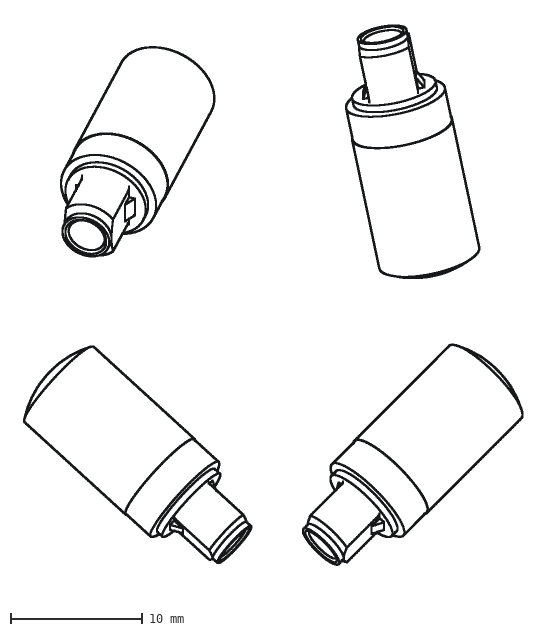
import cadquery as cq
import math

TOTAL_LENGTH = 19.4
SPIGOT_LENGTH = 0.5
SHOULDER_CHAMFER_END = 0.85
FLANGE_FACE = 4.5
COLLAR_FACE = 5.05
SLEEVE_FACE = 7.75
DOME_EDGE = 18.3

SPIGOT_RADIUS = 3.8 / 2
STEM_RADIUS = 5.0 / 2
FLANGE_RADIUS = 6.5 / 2
COLLAR_RADIUS = 7.7 / 2
SLEEVE_RADIUS = 7.8 / 2

STEM_ROOT_FILLET = 0.2
COLLAR_EDGE_RADIUS = 0.3

BORE_RADIUS = 2.9 / 2
BORE_DEPTH = 4.0
BORE_CHAMFER = 0.2

FLAT_HALF_WIDTH = SPIGOT_RADIUS
RIB_HEIGHT = 0.47
RIB_LENGTH = 0.9
RIB_WIDTH = 1.7


def turned_stem():
    """Spigot, chamfered stem and filleted root, as one revolved profile."""
    profile = (
        cq.Workplane("XY")
        .lineTo(SPIGOT_RADIUS, 0)
        .lineTo(SPIGOT_RADIUS, SPIGOT_LENGTH)
        .lineTo(STEM_RADIUS, SHOULDER_CHAMFER_END)
        .lineTo(STEM_RADIUS, FLANGE_FACE - STEM_ROOT_FILLET)
        .radiusArc((STEM_RADIUS + STEM_ROOT_FILLET, FLANGE_FACE), STEM_ROOT_FILLET)
        .lineTo(0, FLANGE_FACE)
        .close()
    )
    return profile.revolve(360, (0, 0, 0), (0, 1, 0))


def flatted_stem():
    """Turned stem cut to parallel flats on its -X and +X sides."""
    envelope = cq.Workplane("XY").box(
        2 * FLAT_HALF_WIDTH, 2 * FLANGE_FACE, 2 * FLANGE_RADIUS
    )
    return turned_stem().intersect(envelope)


def domed_body():
    """Flange, rounded collar and sleeve closed by a spherical dome."""
    edge_center_x = SLEEVE_RADIUS - COLLAR_EDGE_RADIUS
    edge_width = COLLAR_RADIUS - edge_center_x
    edge_length = COLLAR_EDGE_RADIUS - math.sqrt(COLLAR_EDGE_RADIUS**2 - edge_width**2)

    dome_height = TOTAL_LENGTH - DOME_EDGE
    dome_radius = (SLEEVE_RADIUS**2 + dome_height**2) / (2 * dome_height)
    dome_mid_x = SLEEVE_RADIUS / 2
    dome_mid_y = TOTAL_LENGTH - dome_radius + math.sqrt(dome_radius**2 - dome_mid_x**2)
    profile = (
        cq.Workplane("XY")
        .moveTo(0, FLANGE_FACE)
        .lineTo(FLANGE_RADIUS, FLANGE_FACE)
        .lineTo(FLANGE_RADIUS, COLLAR_FACE)
        .lineTo(edge_center_x, COLLAR_FACE)
        .radiusArc((COLLAR_RADIUS, COLLAR_FACE + edge_length), -COLLAR_EDGE_RADIUS)
        .lineTo(COLLAR_RADIUS, SLEEVE_FACE)
        .lineTo(SLEEVE_RADIUS, SLEEVE_FACE)
        .lineTo(SLEEVE_RADIUS, DOME_EDGE)
        .threePointArc((dome_mid_x, dome_mid_y), (0, TOTAL_LENGTH))
        .close()
    )
    return profile.revolve(360, (0, 0, 0), (0, 1, 0))


def wedge_rib(side):
    """Triangular rib from a stem flat to the flange; side is -1 or +1 in X."""
    return (
        cq.Workplane("XY")
        .moveTo(0, FLANGE_FACE - RIB_LENGTH)
        .lineTo(side * FLAT_HALF_WIDTH, FLANGE_FACE - RIB_LENGTH)
        .lineTo(side * (FLAT_HALF_WIDTH + RIB_HEIGHT), FLANGE_FACE)
        .lineTo(0, FLANGE_FACE)
        .close()
        .extrude(RIB_WIDTH / 2, both=True)
    )


def bore():
    """Blind bore along +Y with a chamfered mouth."""
    profile = (
        cq.Workplane("XY")
        .lineTo(BORE_RADIUS + BORE_CHAMFER, 0)
        .lineTo(BORE_RADIUS, BORE_CHAMFER)
        .lineTo(BORE_RADIUS, BORE_DEPTH)
        .lineTo(0, BORE_DEPTH)
        .close()
    )
    return profile.revolve(360, (0, 0, 0), (0, 1, 0))


result = domed_body().union(flatted_stem())
for rib_side in (-1, 1):
    result = result.union(wedge_rib(rib_side))
result = result.cut(bore())